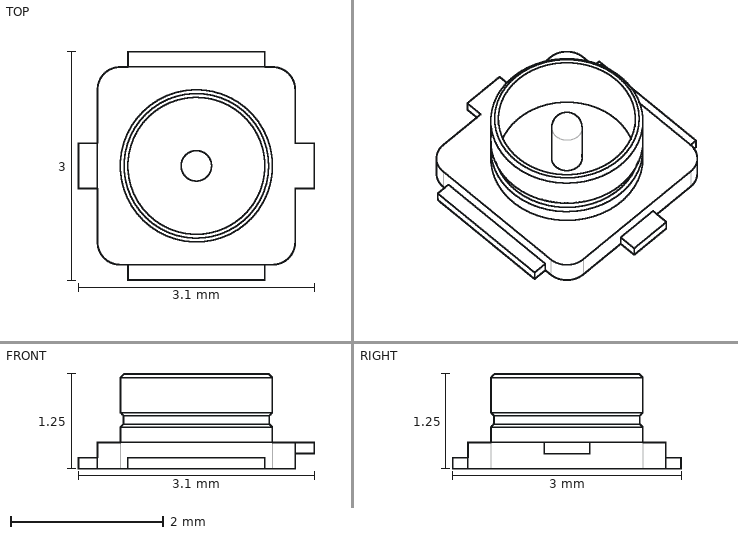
import cadquery as cq

base_side = 2.6
base_height = 0.35
base_corner_radius = 0.3

overall_x = 3.1
overall_y = 3.0
tab_thickness = 0.15
ground_tab_width = 1.8
narrow_tab_width = 0.6

overall_height = 1.25
ring_outer_radius = 2.0 / 2
ring_inner_radius = 1.8 / 2
ring_top_chamfer = 0.05

groove_radius = 1.92 / 2
groove_bottom = 0.55
groove_top = 0.74
groove_depth = ring_outer_radius - groove_radius
groove_flank_height = groove_depth

pin_radius = 0.4 / 2
pin_top = overall_height


def make_base():
    plate = cq.Workplane("XY").rect(base_side, base_side).extrude(base_height)
    return plate.edges("|Z").fillet(base_corner_radius)


def make_tab(length_x, length_y, thickness, center_x=0, bottom=0):
    return (
        cq.Workplane("XY", origin=(center_x, 0, bottom))
        .rect(length_x, length_y)
        .extrude(thickness)
    )


def make_tabs():
    ground_tabs = make_tab(ground_tab_width, overall_y, tab_thickness)
    half_x = overall_x / 2
    low_tab = make_tab(half_x, narrow_tab_width, tab_thickness, -half_x / 2)
    high_tab_bottom = base_height - tab_thickness
    high_tab = make_tab(half_x, narrow_tab_width, tab_thickness, half_x / 2, high_tab_bottom)
    return ground_tabs.union(low_tab).union(high_tab)


def make_ring():
    profile = (
        cq.Workplane("XZ")
        .moveTo(ring_inner_radius, 0)
        .lineTo(ring_outer_radius, 0)
        .lineTo(ring_outer_radius, groove_bottom)
        .lineTo(groove_radius, groove_bottom + groove_flank_height)
        .lineTo(groove_radius, groove_top - groove_flank_height)
        .lineTo(ring_outer_radius, groove_top)
        .lineTo(ring_outer_radius, overall_height - ring_top_chamfer)
        .lineTo(ring_outer_radius - ring_top_chamfer, overall_height)
        .lineTo(ring_inner_radius, overall_height)
        .close()
    )
    return profile.revolve(360, (0, 0, 0), (0, 1, 0))


def make_pin():
    dome_center = pin_top - pin_radius
    shaft = cq.Workplane("XY").circle(pin_radius).extrude(dome_center)
    dome = cq.Workplane("XY", origin=(0, 0, dome_center)).sphere(pin_radius)
    return shaft.union(dome)


result = make_base().union(make_tabs()).union(make_ring()).union(make_pin())